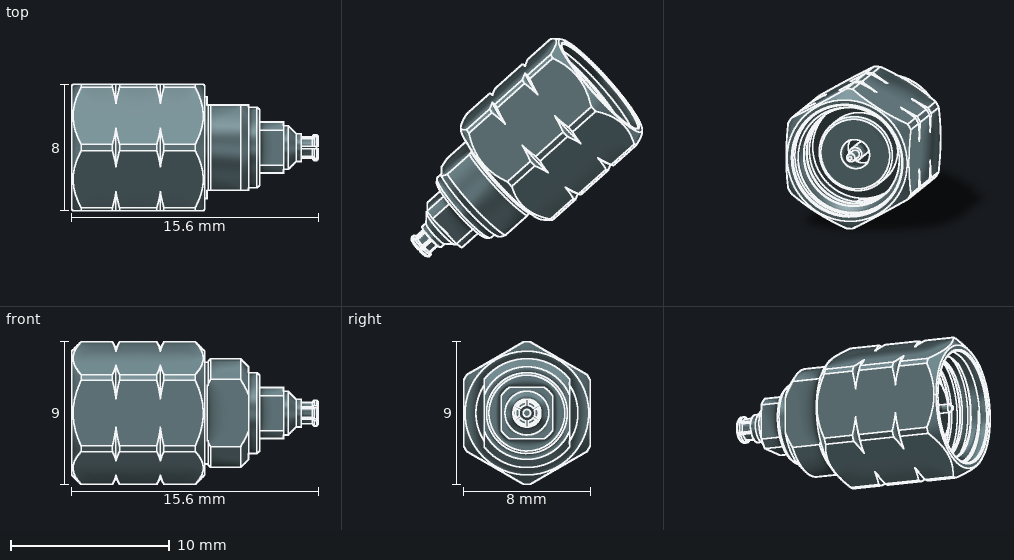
import cadquery as cq
import math


nut_length = 8.4
nut_across_flats = 8.0
nut_corner_radius = 4.502
nut_end_chamfer = 0.599
groove_count = 2
groove_depth = 0.4
groove_half_width = 0.225

thread_pitch = 0.75
lead_in_radius = 3.55
thread_major_radius = 3.5
thread_minor_radius = 3.14
thread_root_width = thread_pitch / 4
thread_flank_angle = math.radians(30)
thread_overlap = 0.05
thread_turns = 3.5
thread_end = 2.97
mouth_chamfer = 0.08
lead_in_depth = 0.58
socket_depth = 3.58

plug_radius = 2.38
plug_chamfer = 0.14
plug_face_x = 2.1
gap_radius = 0.93
gap_depth = 1.87
contact_radius = 0.42
pin_radius = 0.26
pin_tip_radius = 0.11
pin_tip_x = 0.75
pin_tip_length = 0.22

collar_radius = 3.22
collar_end = 8.61
body_radius = 3.44
body_front_chamfer = 0.15
body_rear_chamfer = 0.51
body_end = 11.16
body_across_flats = 5.4
body_flat_start = 8.55
flange_radius = 2.55
flange_chamfer_radial = 0.15
flange_chamfer_axial = 0.19
flange_end = 11.86

square_across_flats = 3.23
square_corner_radius = 1.96
square_end = 13.37

neck_radius = 1.38
neck_end = 13.65
taper_end = 14.15
sleeve_radius = 0.89
sleeve_end = 14.5

total_length = 15.55
collet_radius = 0.68
collet_bore_radius = 0.5
collet_rim_radius = 0.82
collet_mouth_radius = 0.72
rim_rise_start = 15.18
rim_crest_start = 15.29
rim_crest_end = 15.44
slot_width = 0.14
slot_count = 3
inner_contact_radius = 0.23
inner_contact_end = 15.45


def revolve_about_x(points):
    """Solid of revolution about X from a closed outline of (x, radius) points."""
    return cq.Workplane("XY").polyline(points).close().revolve(360, (0, 0, 0), (1, 0, 0))


def cylinder(start, end, radius):
    return cq.Workplane("YZ").workplane(offset=start).circle(radius).extrude(end - start)


def coupling_nut():
    """Hexagon with chamfered ends and V grooves cut around its corners."""
    across_corners = nut_across_flats / math.cos(math.pi / 6)
    hexagon = cq.Workplane("YZ").polygon(6, across_corners).extrude(nut_length)
    hexagon = hexagon.rotate((0, 0, 0), (1, 0, 0), 90)

    end_radius = nut_corner_radius - nut_end_chamfer
    envelope = [(0, 0), (0, end_radius), (nut_end_chamfer, nut_corner_radius)]
    groove_spacing = nut_length / (groove_count + 1)
    for index in range(groove_count):
        centre = groove_spacing * (index + 1)
        envelope += [
            (centre - groove_half_width, nut_corner_radius),
            (centre, nut_corner_radius - groove_depth),
            (centre + groove_half_width, nut_corner_radius),
        ]
    envelope += [
        (nut_length - nut_end_chamfer, nut_corner_radius),
        (nut_length, end_radius),
        (nut_length, 0),
    ]
    return hexagon.intersect(revolve_about_x(envelope))


def socket():
    """Cavity of the nut: chamfered mouth, lead-in and bore at the thread's minor radius."""
    lead_in_cone = lead_in_radius - thread_minor_radius
    return revolve_about_x([
        (0, 0),
        (0, lead_in_radius + mouth_chamfer),
        (mouth_chamfer, lead_in_radius),
        (lead_in_depth, lead_in_radius),
        (lead_in_depth + lead_in_cone, thread_minor_radius),
        (socket_depth, thread_minor_radius),
        (socket_depth, 0),
    ])


def thread_groove():
    """Right-hand helical groove, 60 degrees between its flanks, that ends at the -Z side."""
    inner_radius = thread_minor_radius - thread_overlap
    root_half = thread_root_width / 2
    mouth_half = root_half + (thread_major_radius - inner_radius) * math.tan(thread_flank_angle)
    helix = cq.Wire.makeHelix(thread_pitch, thread_turns * thread_pitch, thread_minor_radius)
    groove = (
        cq.Workplane("XZ")
        .polyline([
            (inner_radius, -mouth_half),
            (thread_major_radius, -root_half),
            (thread_major_radius, root_half),
            (inner_radius, mouth_half),
        ])
        .close()
        .sweep(cq.Workplane(helix), isFrenet=True)
    )
    thread_start = thread_end - thread_turns * thread_pitch
    groove = groove.rotate((0, 0, 0), (0, 1, 0), 90).translate((thread_start, 0, 0))
    return groove.rotate((0, 0, 0), (1, 0, 0), -360 * thread_turns)


def plug():
    """Raised plug with a chamfered face and a pointed pin on the axis."""
    outer = revolve_about_x([
        (plug_face_x, 0),
        (plug_face_x, plug_radius - plug_chamfer),
        (plug_face_x + plug_chamfer, plug_radius),
        (socket_depth, plug_radius),
        (socket_depth, 0),
    ])
    pin = revolve_about_x([
        (pin_tip_x, 0),
        (pin_tip_x, pin_tip_radius),
        (pin_tip_x + pin_tip_length, pin_radius),
        (plug_face_x, pin_radius),
        (plug_face_x, 0),
    ])
    return outer.union(pin)


def contact_gap():
    """Annular air gap around the centre contact, open at the plug face."""
    gap_end = plug_face_x + gap_depth
    gap = cylinder(plug_face_x, gap_end, gap_radius)
    return gap.cut(cylinder(plug_face_x, gap_end, contact_radius))


def body():
    """Collar and chamfered barrel with two flats facing -Y and +Y."""
    barrel = revolve_about_x([
        (nut_length, 0),
        (nut_length, collar_radius),
        (collar_end, collar_radius),
        (collar_end, body_radius - body_front_chamfer),
        (collar_end + body_front_chamfer, body_radius),
        (body_end - body_rear_chamfer, body_radius),
        (body_end, body_radius - body_rear_chamfer),
        (body_end, 0),
    ])
    flatted_length = body_end - body_flat_start
    between_flats = (
        cq.Workplane("YZ")
        .workplane(offset=body_flat_start)
        .rect(body_across_flats, 2 * body_radius)
        .extrude(flatted_length)
    )
    round_end = cylinder(nut_length, body_flat_start, body_radius)
    return barrel.intersect(between_flats.union(round_end))


def flange():
    return revolve_about_x([
        (body_end, 0),
        (body_end, flange_radius),
        (flange_end - flange_chamfer_axial, flange_radius),
        (flange_end, flange_radius - flange_chamfer_radial),
        (flange_end, 0),
    ])


def square_section():
    square = (
        cq.Workplane("YZ")
        .workplane(offset=flange_end)
        .rect(square_across_flats, square_across_flats)
        .extrude(square_end - flange_end)
    )
    return square.intersect(cylinder(flange_end, square_end, square_corner_radius))


def neck():
    return revolve_about_x([
        (square_end, 0),
        (square_end, neck_radius),
        (neck_end, neck_radius),
        (taper_end, sleeve_radius),
        (sleeve_end, sleeve_radius),
        (sleeve_end, 0),
    ])


def collet():
    """Thin tube with a raised rim, divided into fingers by slots, around a plain inner contact."""
    tube = revolve_about_x([
        (sleeve_end, collet_bore_radius),
        (sleeve_end, collet_radius),
        (rim_rise_start, collet_radius),
        (rim_crest_start, collet_rim_radius),
        (rim_crest_end, collet_rim_radius),
        (total_length, collet_mouth_radius),
        (total_length, collet_bore_radius),
    ])
    length = total_length - sleeve_end
    slot = cq.Workplane("XY").box(length, slot_width, 2 * collet_rim_radius)
    slot = slot.translate((sleeve_end + length / 2, 0, 0))
    for index in range(slot_count):
        tube = tube.cut(slot.rotate((0, 0, 0), (1, 0, 0), index * 180 / slot_count))
    return tube.union(cylinder(sleeve_end, inner_contact_end, inner_contact_radius))


result = coupling_nut().cut(socket()).cut(thread_groove())
for section in (plug(), body(), flange(), square_section(), neck(), collet()):
    result = result.union(section)
result = result.cut(contact_gap())